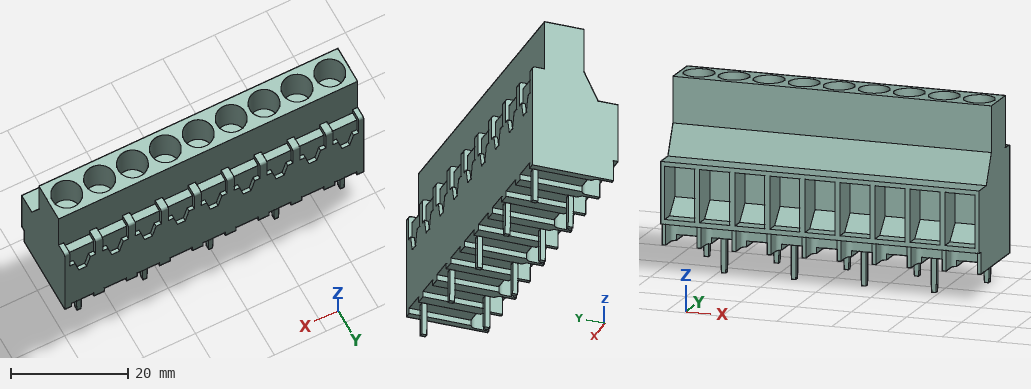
import cadquery as cq


length = 57.75
pole_count = 9
pole_pitch = 6.35

depth = 15.8
lower_front_y = 0.85
slope_foot_y = 3.7
tower_front_y = 6.3
tower_rear_y = 13.6

housing_bottom_z = 5.0
lip_z = 8.95
shelf_z = 20.05
slope_top_z = 25.25
rear_shoulder_z = 24.25
top_z = 33.5
shoulder_radius = 0.5

screw_hole_diameter = 5.4
screw_hole_depth = 6.95
screw_hole_y = (tower_front_y + tower_rear_y) / 2

pocket_width = 5.4
pocket_floor_z = 9.8
pocket_top_z = 19.25
pocket_floor_depth = 2.5
pocket_ramp_size = 2.7

relief_width = 5.65
relief_rear_y = 4.45
relief_radius = 1.05

channel_width = 4.3
channel_ceiling_z = 6.05

recess_width = 4.95
recess_ledge_z = 23.1
recess_slot_depth = 0.7
recess_floor_z = 19.65
notch_top_width = 2.95
notch_bottom_width = 1.5
notch_depth = 2.85

pin_width = 0.9
pin_tip_width = 0.75
pin_tip_length = 1.5
rear_pin_y = 14.05
front_pin_y = 4.95

pole_xs = [(i - (pole_count - 1) / 2) * pole_pitch for i in range(pole_count)]


def block(x_center, width, y_range, z_range):
    """Box centred on x_center that spans the given Y and Z ranges."""
    (y0, y1), (z0, z1) = y_range, z_range
    return cq.Workplane("XY").box(width, y1 - y0, z1 - z0, centered=(True, False, False)).translate(
        (x_center, y0, z0)
    )


def make_shell():
    """Side profile extruded along the row, with the rear shoulder edge rounded."""
    profile = [
        (lower_front_y, housing_bottom_z),
        (lower_front_y, lip_z),
        (0, lip_z),
        (0, shelf_z),
        (slope_foot_y, shelf_z),
        (tower_front_y, slope_top_z),
        (tower_front_y, top_z),
        (tower_rear_y, top_z),
        (tower_rear_y, rear_shoulder_z),
        (depth, rear_shoulder_z),
        (depth, housing_bottom_z),
    ]
    shell = cq.Workplane("YZ").polyline(profile).close().extrude(length / 2, both=True)
    shoulder_edge = cq.selectors.NearestToPointSelector((0, depth, rear_shoulder_z))
    return shell.edges("|X").edges(shoulder_edge).fillet(shoulder_radius)


def screw_hole(x):
    return (
        cq.Workplane("XY", origin=(x, screw_hole_y, top_z))
        .circle(screw_hole_diameter / 2)
        .extrude(-screw_hole_depth)
    )


def wire_pocket(x):
    """Pocket with a flat floor that ramps up to a vertical rear wall."""
    rear_y = pocket_floor_depth + pocket_ramp_size
    profile = [
        (0, pocket_floor_z),
        (pocket_floor_depth, pocket_floor_z),
        (rear_y, pocket_floor_z + pocket_ramp_size),
        (rear_y, pocket_top_z),
        (0, pocket_top_z),
    ]
    pocket = cq.Workplane("YZ").polyline(profile).close().extrude(pocket_width / 2, both=True)
    return pocket.translate((x, 0, 0))


def front_relief(x):
    relief = block(x, relief_width, (0, relief_rear_y), (housing_bottom_z, lip_z))
    return relief.edges("|Z and >Y").fillet(relief_radius)


def bottom_channel(x):
    return block(x, channel_width, (0, depth), (housing_bottom_z, channel_ceiling_z))


def rear_recess(x):
    """Shallow ledge, a deeper slot behind it and a tapered notch in the slot floor."""
    slot_y = depth - recess_slot_depth
    ledge = block(x, recess_width, (tower_rear_y, depth), (recess_ledge_z, rear_shoulder_z))
    slot = block(x, recess_width, (slot_y, depth), (recess_floor_z, rear_shoulder_z))
    notch_bottom_z = recess_floor_z - notch_depth
    notch_outline = [
        (-notch_top_width / 2, recess_floor_z),
        (notch_top_width / 2, recess_floor_z),
        (notch_bottom_width / 2, notch_bottom_z),
        (-notch_bottom_width / 2, notch_bottom_z),
    ]
    notch = (
        cq.Workplane("XZ", origin=(x, depth, 0))
        .polyline(notch_outline)
        .close()
        .extrude(recess_slot_depth)
    )
    return ledge.union(slot).union(notch)


def make_housing():
    housing = make_shell()
    for x in pole_xs:
        for cutter in (screw_hole, wire_pocket, front_relief, bottom_channel, rear_recess):
            housing = housing.cut(cutter(x))
    return housing


def make_pin(x, y):
    """Square pin that hangs from the channel ceiling and narrows in X towards its tip."""
    outline = [
        (-pin_width / 2, channel_ceiling_z),
        (-pin_width / 2, pin_tip_length),
        (-pin_tip_width / 2, 0),
        (pin_tip_width / 2, 0),
        (pin_width / 2, pin_tip_length),
        (pin_width / 2, channel_ceiling_z),
    ]
    pin = cq.Workplane("XZ").polyline(outline).close().extrude(pin_width / 2, both=True)
    return pin.translate((x, y, 0))


housing = make_housing()

pins = []
for index, pole_x in enumerate(pole_xs):
    pin_y = rear_pin_y if index % 2 == 0 else front_pin_y
    pins.append(make_pin(pole_x, pin_y))

result = cq.Compound.makeCompound([housing.val(), *[pin.val() for pin in pins]])